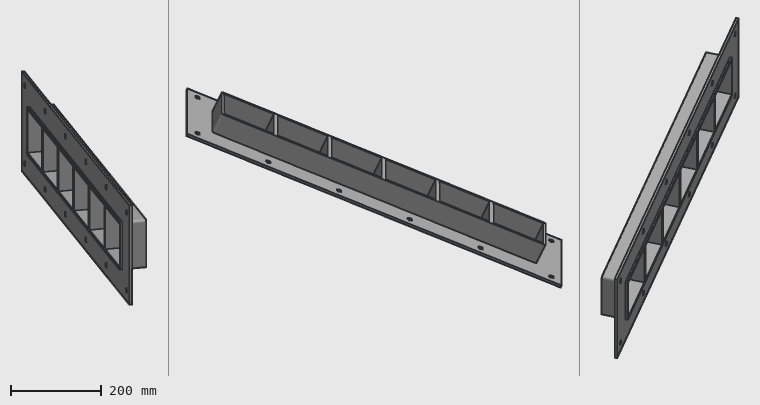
import cadquery as cq

plate_length = 905
plate_height = 233.0
plate_thickness = 6.0

opening_count = 6
opening_width = 120.0
opening_height = 101.0
divider_thickness = 10.0
frame_wall = 6.0
frame_depth = 60.0
frame_front_overhang = 4.5
frame_corner_radius = 6.0

hole_diameter = 11.0
holes_per_row = 6
hole_pitch = 171.0
row_spacing = 183.0

opening_pitch = opening_width + divider_thickness
frame_length = opening_count * opening_pitch - divider_thickness + 2 * frame_wall
frame_height = opening_height + 2 * frame_wall


def upright_block(length, depth, height, front_y):
    """Block centred on X and Z whose front face lies at front_y."""
    block = cq.Workplane("XY").box(length, depth, height, centered=(True, False, True))
    return block.translate((0, front_y, 0))


plate = upright_block(plate_length, plate_thickness, plate_height, frame_front_overhang)
frame = upright_block(frame_length, frame_depth, frame_height, 0)
frame = frame.edges("|Y").fillet(frame_corner_radius)
body = plate.union(frame)

openings = (
    cq.Workplane("XZ")
    .rarray(opening_pitch, 9, opening_count, 1)
    .rect(opening_width, opening_height)
    .extrude(-frame_depth)
)

mounting_holes = (
    cq.Workplane("XZ")
    .rarray(hole_pitch, row_spacing, holes_per_row, 2)
    .circle(hole_diameter / 2)
    .extrude(-frame_depth)
)

result = body.cut(openings).cut(mounting_holes)